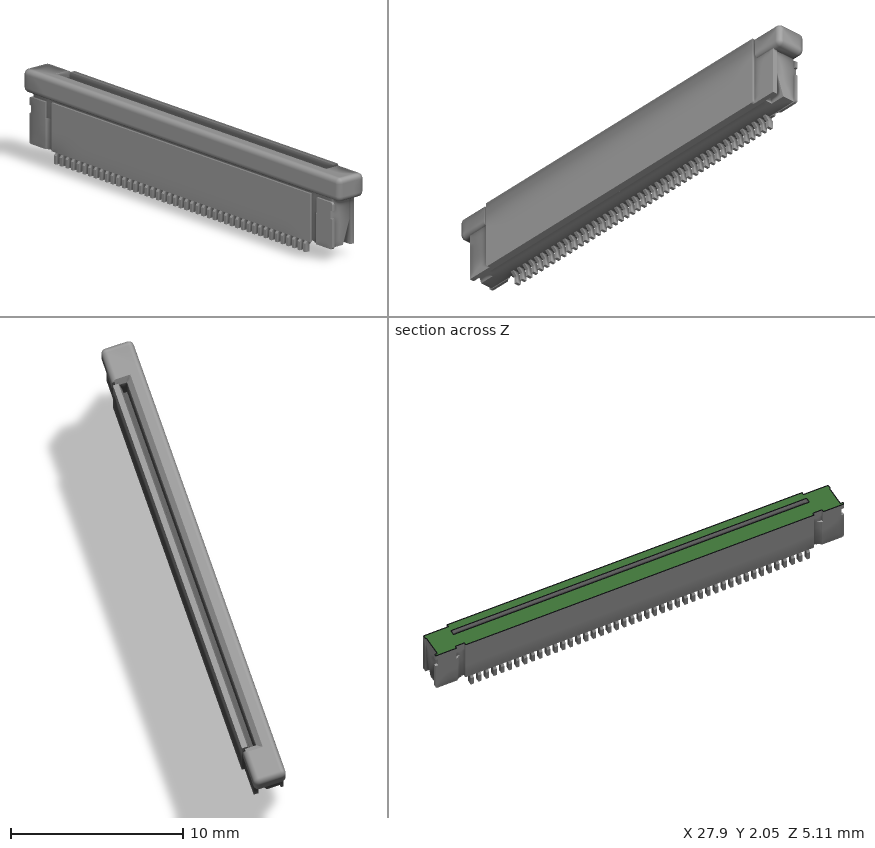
import cadquery as cq
import math


bar_length = 27.93
depth = 1.97
bar_bottom = 3.0
bar_top = 4.43
bar_radius = 0.31

slot_half_length = 11.63
slot_bevel = 0.3
slot_front = 1.1
slot_floor = 2.2
lip_end_gap = 0.2
lip_thickness = 0.34
lip_bevel_width = 0.22
lip_bevel_height = 1.2
slot_back = depth - lip_thickness - lip_bevel_width

skin = 0.17
core_half_length = 13.2
core_bottom = 0.06
flange_half_length = 13.25
flange_front = 1.5
front_plate_half_length = 11.41
front_plate_top = 2.95
corner_radius = 0.15

tab_outer = 13.37
tab_top = 2.86
tab_notch_top = 2.36
tab_notch_bottom = 1.86
tab_upper_inner = 11.99
tab_lower_inner = 11.59
tab_round_width = 0.34

slit_front = 0.95
slit_height = 1.62
slit_depth = 1.0

contact_count = 45
contact_pitch = 0.5
contact_width = 0.2
tail_end = -0.68
tail_front = -0.08
tail_back = 0.25
tail_root_front = 0.08
tail_root_back = 0.5
tail_bend_front = -0.16
tail_bend_back = -0.25
beam_thickness = 0.08
beam_top = slot_floor + 0.1
contact_embed = 0.1


def box(x0, x1, y0, y1, z0, z1):
    return cq.Workplane("XY").box(x1 - x0, y1 - y0, z1 - z0, centered=False).translate((x0, y0, z0))


def centered_box(half_length, y0, y1, z0, z1):
    return box(-half_length, half_length, y0, y1, z0, z1)


def extrude_along_x(points, x0, x1):
    """Extrude a closed (Y, Z) outline from x0 to x1."""
    return cq.Workplane("YZ").polyline(points).close().extrude(x1 - x0).translate((x0, 0, 0))


def both_ends(end):
    """Add the mirror image of a feature at the opposite X end."""
    return end.union(end.mirror("YZ"))


def make_bar():
    return centered_box(bar_length / 2, 0, depth, bar_bottom, bar_top).edges().fillet(bar_radius)


def make_housing():
    core = centered_box(core_half_length, skin, flange_front, core_bottom, bar_bottom + bar_radius)
    flange = centered_box(flange_half_length, flange_front, depth - skin, 0, bar_bottom + bar_radius)
    back_plate = centered_box(slot_half_length, depth - skin, depth, 0, bar_bottom)
    back_plate = back_plate.edges("|Y and <Z").fillet(corner_radius)
    front_plate = centered_box(front_plate_half_length, 0, skin, 0, front_plate_top)
    return core.union(flange).union(back_plate).union(front_plate)


def make_tab():
    """Front tab at the +X end, with a rounded inner edge and a notched outer edge."""
    upper = box(tab_upper_inner, tab_outer, 0, skin, tab_notch_bottom, tab_top)
    upper = upper.edges("|Y and >X and >Z").fillet(corner_radius)
    chord = math.hypot(tab_round_width, skin)
    round_radius = chord**2 / (2 * skin)
    bulge = round_radius - math.sqrt(round_radius**2 - (chord / 2) ** 2)
    lower = (
        cq.Workplane("XY")
        .moveTo(tab_lower_inner, skin)
        .sagittaArc((tab_lower_inner + tab_round_width, 0), bulge)
        .lineTo(tab_outer, 0)
        .lineTo(tab_outer, skin)
        .close()
        .extrude(tab_notch_bottom)
        .edges("|Y and >X and <Z")
        .fillet(corner_radius)
    )
    notch = box(core_half_length, tab_outer, 0, skin, tab_notch_bottom, tab_notch_top)
    return upper.cut(notch).union(lower)


def make_slit():
    """Triangular slit at the +X end, open at the underside and the end face."""
    outline = [(slit_front, 0), (flange_front, 0), (flange_front, slit_height)]
    return extrude_along_x(outline, core_half_length - slit_depth, core_half_length)


def make_lead_in():
    """Sloped mouth of the slot; it widens to the front and both ends and runs out at the back."""
    back = depth + slot_bevel
    return (
        cq.Workplane("XY", origin=(0, back, bar_top - slot_bevel))
        .rect(2 * slot_half_length, 2 * (back - slot_front))
        .workplane(offset=slot_bevel)
        .rect(2 * (slot_half_length + slot_bevel), 2 * (back - slot_front + slot_bevel))
        .loft(ruled=True)
    )


def make_slot():
    """Full opening behind the front wall of the slot; the lip fills its rear part again."""
    return centered_box(slot_half_length, slot_front, depth, slot_floor, bar_top)


def make_lip_gaps():
    """Gaps in the back of the bar, one beside each end of the lip."""
    gap_end = slot_half_length + lip_end_gap
    return both_ends(box(slot_half_length, gap_end, depth - skin, depth, bar_bottom, bar_top))


def make_lip():
    """Sharp-edged wall behind the slot, bevelled toward the slot."""
    outline = [
        (slot_back, slot_floor),
        (depth, slot_floor),
        (depth, bar_top),
        (depth - lip_thickness, bar_top),
        (slot_back, bar_top - lip_bevel_height),
    ]
    return extrude_along_x(outline, -slot_half_length, slot_half_length)


def make_contact(x):
    """One contact: a bent tail below the housing and a beam on the back wall of the slot."""
    left = x - contact_width / 2
    right = x + contact_width / 2
    tail_outline = [
        (tail_root_back, contact_embed),
        (tail_root_back, 0),
        (tail_back, tail_bend_back),
        (tail_back, tail_end),
        (tail_front, tail_end),
        (tail_front, tail_bend_front),
        (tail_root_front, 0),
        (tail_root_front, contact_embed),
    ]
    tail = extrude_along_x(tail_outline, left, right)
    beam_front = slot_back - beam_thickness
    beam = box(left, right, beam_front, slot_back + contact_embed, slot_floor - contact_embed, beam_top)
    return [tail.val(), beam.val()]


def make_contacts():
    solids = []
    for index in range(contact_count):
        x = (index - (contact_count - 1) / 2) * contact_pitch
        solids.extend(make_contact(x))
    return cq.Workplane("XY").newObject([cq.Compound.makeCompound(solids)])


body = make_bar().union(make_housing()).union(both_ends(make_tab()))
body = body.cut(both_ends(make_slit()))
body = body.cut(make_lead_in())
body = body.cut(make_slot())
body = body.cut(make_lip_gaps())
body = body.union(make_lip())
result = body.union(make_contacts())